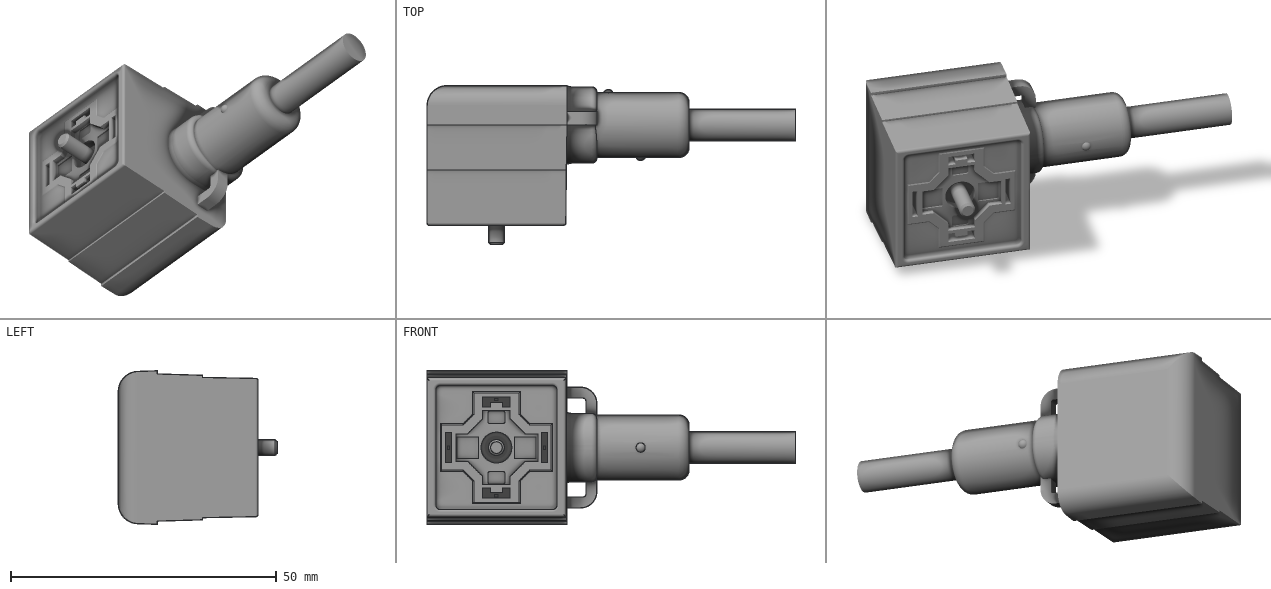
import cadquery as cq


HOUSING_LEFT = -13.1
HOUSING_RIGHT_FRONT = 13.1
HOUSING_RIGHT_BACK = 13.35
HOUSING_DEPTH = 26.4
HOUSING_HALF_HEIGHT = 14.5
BACK_HALF_HEIGHT = 14.25
FRONT_HALF_HEIGHT = 13.05
FRONT_STEP_Y = 10.5
FRONT_STEP_INNER = 13.25
FRONT_STEP_OUTER = 13.65
BACK_STEP_Y = 19.0
BACK_STEP_INNER = 13.9
BACK_EDGE_RADIUS = 3.85

RECESS_HALF_WIDTH = 11.43
RECESS_HALF_HEIGHT = 11.72
RECESS_DEPTH = 1.3
RECESS_CORNER_RADIUS = 0.9
RIM_RADIUS = 0.48

CROSS_HEIGHT = 0.12
CROSS_FLANK = 0.22
CROSS_REACH = 10.55
CROSS_HALF_WIDTH = 4.49
CROSS_CORNER = 6.27
CROSS_TOP_Y = RECESS_DEPTH - CROSS_HEIGHT

CENTRE_DEPTH = 1.1
CENTRE_HALF_WIDTH = 2.6
CENTRE_CORNER = 5.43
CENTRE_REACH_LEFT = 7.6
CENTRE_REACH_RIGHT = 7.85
CENTRE_REACH_Z = 7.0
CENTRE_FLOOR_Y = CROSS_TOP_Y + CENTRE_DEPTH

LABEL_DEPTH = 0.3
SQUARE_LABEL_SIZE = 4.05
SQUARE_LABEL_X = 5.45
NUMBER_LABEL_WIDTH = 3.2
NUMBER_LABEL_HEIGHT = 2.4
NUMBER_LABEL_Z = 5.7
NUMBER_LABEL_RADIUS = 0.4

SLOT_DEPTH = 4.0
SIDE_SLOT_WIDTH = 1.1
SIDE_SLOT_HEIGHT = 5.65
SIDE_SLOT_X = 9.05
END_SLOT_HALF_WIDTH = 2.6
END_SLOT_INNER_Z = 7.65
END_SLOT_OUTER_Z = 9.5
END_SLOT_TONGUE_HALF_WIDTH = 1.15
END_SLOT_TONGUE_Z = 8.5
CONTACT_WIDTH = 0.65
CONTACT_THICKNESS = 0.4
CONTACT_DEPTH = 1.0
CONTACT_END_Z = 9.08

SCREW_RADIUS = 1.5
SCREW_PROTRUSION = 3.6
SCREW_CHAMFER = 0.4
SCREW_WELL_RADIUS = 2.9
SCREW_WELL_DEPTH = 1.8

CABLE_Y = 18.95
CABLE_RADIUS = 3.0
CABLE_END_X = 56.4
BOOT_RADIUS = 6.15
BOOT_END_X = 36.35
BOOT_EDGE_RADIUS = 2.0
BURIED_X = 11.0

COLLAR_HALF_Y = 7.2
COLLAR_HALF_Z = 6.45
COLLAR_CORNER_RADIUS = 6.0
COLLAR_END_X = 18.95
COLLAR_EDGE_RADIUS = 1.0
COLLAR_FLARE = 0.2
COLLAR_FLARE_LENGTH = 1.0

LOOP_FRONT_Y = 19.0
LOOP_THICKNESS = 2.5
LOOP_HALF_HEIGHT = 11.4
LOOP_BAR = 2.1
LOOP_OUTER_RADIUS = 3.1
LOOP_INNER_RADIUS = 0.5

BUMP_RADIUS = 0.95
BUMP_SINK = 0.4
BUMP_FRONT_X = 27.2
BUMP_BACK_X = 21.1


def sketch_plane(y):
    """Plane at the given Y that extrudes towards -Y, drawn in X and Z."""
    return cq.Workplane("XZ", origin=(0, y, 0))


def pocket_rect(x, z, width, height, front_y, depth):
    """Rectangular block reaching from front_y to front_y + depth."""
    return sketch_plane(front_y + depth).center(x, z).rect(width, height).extrude(depth)


def cross_points(half_width, corner, left, right, reach_z):
    """Cross with bevelled inner corners, counter-clockwise in X and Z."""
    return [
        (right, -half_width), (right, half_width), (corner, half_width),
        (half_width, corner), (half_width, reach_z), (-half_width, reach_z),
        (-half_width, corner), (-corner, half_width), (-left, half_width),
        (-left, -half_width), (-corner, -half_width), (-half_width, -corner),
        (-half_width, -reach_z), (half_width, -reach_z), (half_width, -corner),
        (corner, -half_width),
    ]


def make_housing():
    """Stepped, tapering block rounded along its top, bottom and left back edges."""
    upper = [
        (0, FRONT_HALF_HEIGHT),
        (FRONT_STEP_Y, FRONT_STEP_INNER),
        (FRONT_STEP_Y, FRONT_STEP_OUTER),
        (BACK_STEP_Y, BACK_STEP_INNER),
        (BACK_STEP_Y, HOUSING_HALF_HEIGHT),
        (HOUSING_DEPTH, BACK_HALF_HEIGHT),
    ]
    lower = [(y, -z) for y, z in reversed(upper)]
    length = HOUSING_RIGHT_BACK - HOUSING_LEFT
    side_shape = (
        cq.Workplane("YZ", origin=(HOUSING_LEFT, 0, 0))
        .polyline(upper + lower).close().extrude(length)
        .faces(">Y").edges("|X").fillet(BACK_EDGE_RADIUS)
    )
    plan_shape = (
        cq.Workplane("XY")
        .moveTo(HOUSING_LEFT, 0)
        .lineTo(HOUSING_RIGHT_FRONT, 0)
        .lineTo(HOUSING_RIGHT_BACK, HOUSING_DEPTH)
        .lineTo(HOUSING_LEFT, HOUSING_DEPTH)
        .close().extrude(HOUSING_HALF_HEIGHT, both=True)
        .edges("|Z and >Y and <X").fillet(BACK_EDGE_RADIUS)
    )
    return side_shape.intersect(plan_shape)


def cut_recess(housing):
    """Sink the sealing recess and round both edges of the rim."""
    recess = (
        pocket_rect(0, 0, 2 * RECESS_HALF_WIDTH, 2 * RECESS_HALF_HEIGHT, 0, RECESS_DEPTH)
        .edges("|Y").fillet(RECESS_CORNER_RADIUS)
        .faces(">Y").edges().fillet(RIM_RADIUS)
    )
    return housing.cut(recess).faces("<Y").edges().fillet(RIM_RADIUS)


def make_cross():
    """Raised cross whose flanks lean inwards towards -Y."""
    foot = cross_points(CROSS_HALF_WIDTH, CROSS_CORNER, CROSS_REACH, CROSS_REACH, CROSS_REACH)
    top_reach = CROSS_REACH - CROSS_FLANK
    top = cross_points(
        CROSS_HALF_WIDTH - CROSS_FLANK, CROSS_CORNER, top_reach, top_reach, top_reach
    )
    return (
        sketch_plane(RECESS_DEPTH).polyline(foot).close()
        .workplane(offset=CROSS_HEIGHT).polyline(top).close()
        .loft(ruled=True)
    )


def make_centre_cutter():
    """Sunken centre, its label pockets and the well around the screw."""
    outline = cross_points(
        CENTRE_HALF_WIDTH, CENTRE_CORNER, CENTRE_REACH_LEFT, CENTRE_REACH_RIGHT, CENTRE_REACH_Z
    )
    cutter = sketch_plane(CENTRE_FLOOR_Y).polyline(outline).close().extrude(CENTRE_DEPTH)
    for side in (-1, 1):
        square_label = pocket_rect(
            side * SQUARE_LABEL_X, 0, SQUARE_LABEL_SIZE, SQUARE_LABEL_SIZE,
            CENTRE_FLOOR_Y, LABEL_DEPTH,
        )
        number_label = pocket_rect(
            0, side * NUMBER_LABEL_Z, NUMBER_LABEL_WIDTH, NUMBER_LABEL_HEIGHT,
            CENTRE_FLOOR_Y, LABEL_DEPTH,
        ).edges("|Y").fillet(NUMBER_LABEL_RADIUS)
        cutter = cutter.union(square_label).union(number_label)
    well = (
        sketch_plane(CENTRE_FLOOR_Y + SCREW_WELL_DEPTH)
        .circle(SCREW_WELL_RADIUS).extrude(SCREW_WELL_DEPTH)
    )
    return cutter.union(well)


def make_side_slot(side):
    """Straight terminal slot on the -X (side = -1) or +X (side = 1) arm."""
    x = side * SIDE_SLOT_X
    slot = pocket_rect(x, 0, SIDE_SLOT_WIDTH, SIDE_SLOT_HEIGHT, CROSS_TOP_Y, SLOT_DEPTH)
    contact = pocket_rect(
        x, 0, CONTACT_THICKNESS, CONTACT_WIDTH, CROSS_TOP_Y + SLOT_DEPTH, CONTACT_DEPTH
    )
    return slot.union(contact)


def make_end_slot(side):
    """U-shaped terminal slot on the -Z (side = -1) or +Z (side = 1) arm."""
    slot_height = END_SLOT_OUTER_Z - END_SLOT_INNER_Z
    tongue_height = END_SLOT_TONGUE_Z - END_SLOT_INNER_Z
    slot = pocket_rect(
        0, side * (END_SLOT_INNER_Z + slot_height / 2),
        2 * END_SLOT_HALF_WIDTH, slot_height, CROSS_TOP_Y, SLOT_DEPTH,
    )
    tongue = pocket_rect(
        0, side * (END_SLOT_INNER_Z + tongue_height / 2),
        2 * END_SLOT_TONGUE_HALF_WIDTH, tongue_height, CROSS_TOP_Y, SLOT_DEPTH,
    )
    contact = pocket_rect(
        0, side * CONTACT_END_Z, CONTACT_WIDTH, CONTACT_THICKNESS,
        CROSS_TOP_Y + SLOT_DEPTH, CONTACT_DEPTH,
    )
    return slot.cut(tongue).union(contact)


def make_screw():
    """Screw shank from the bottom of its well to the chamfered tip."""
    root_y = CENTRE_FLOOR_Y + SCREW_WELL_DEPTH
    return (
        sketch_plane(root_y).circle(SCREW_RADIUS).extrude(root_y + SCREW_PROTRUSION)
        .faces("<Y").chamfer(SCREW_CHAMFER)
    )


def outlet_plane(x):
    """Plane across the cable axis at the given X."""
    return cq.Workplane("YZ", origin=(x, CABLE_Y, 0))


def collar_section(growth):
    """Outline of the collar, enlarged all round by growth."""
    return (
        cq.Sketch()
        .rect(2 * (COLLAR_HALF_Y + growth), 2 * (COLLAR_HALF_Z + growth))
        .vertices().fillet(COLLAR_CORNER_RADIUS + growth)
    )


def make_collar():
    """Collar with a flared foot at the housing and a rounded outer end."""
    section = collar_section(0)
    collar = (
        outlet_plane(BURIED_X).placeSketch(section).extrude(COLLAR_END_X - BURIED_X)
        .faces(">X").edges().fillet(COLLAR_EDGE_RADIUS)
    )
    flare_end = section.moved(cq.Location(cq.Vector(0, 0, COLLAR_FLARE_LENGTH)))
    foot = (
        outlet_plane(HOUSING_RIGHT_FRONT)
        .placeSketch(collar_section(COLLAR_FLARE), flare_end)
        .loft(ruled=True)
    )
    return collar.union(foot)


def make_cable():
    """Boot with a rounded end, and the round cable leaving it."""
    boot = (
        outlet_plane(BURIED_X).circle(BOOT_RADIUS).extrude(BOOT_END_X - BURIED_X)
        .faces(">X").edges().fillet(BOOT_EDGE_RADIUS)
    )
    cable = outlet_plane(BURIED_X).circle(CABLE_RADIUS).extrude(CABLE_END_X - BURIED_X)
    return boot.union(cable)


def make_bump(x, side):
    """Marker bump on the -Y (side = -1) or +Y (side = 1) side of the boot."""
    y = CABLE_Y + side * (BOOT_RADIUS - BUMP_SINK)
    return cq.Workplane("XY", origin=(x, y, 0)).sphere(BUMP_RADIUS)


def make_loop():
    """Flat U-shaped loop standing on the housing, with an opening beside the collar."""
    back_y = LOOP_FRONT_Y + LOOP_THICKNESS
    length = COLLAR_END_X - BURIED_X
    plate = (
        sketch_plane(back_y).center(BURIED_X + length / 2, 0)
        .rect(length, 2 * LOOP_HALF_HEIGHT).extrude(LOOP_THICKNESS)
        .edges("|Y and >X").fillet(LOOP_OUTER_RADIUS)
    )
    open_length = length - LOOP_BAR
    opening = (
        sketch_plane(back_y).center(BURIED_X + open_length / 2, 0)
        .rect(open_length, 2 * (LOOP_HALF_HEIGHT - LOOP_BAR)).extrude(LOOP_THICKNESS)
        .edges("|Y and >X").fillet(LOOP_INNER_RADIUS)
    )
    return plate.cut(opening)


housing = cut_recess(make_housing()).union(make_cross()).cut(make_centre_cutter())
for arm in (-1, 1):
    housing = housing.cut(make_side_slot(arm)).cut(make_end_slot(arm))

result = (
    housing
    .union(make_screw())
    .union(make_loop())
    .union(make_collar())
    .union(make_cable())
    .union(make_bump(BUMP_FRONT_X, -1))
    .union(make_bump(BUMP_BACK_X, 1))
)